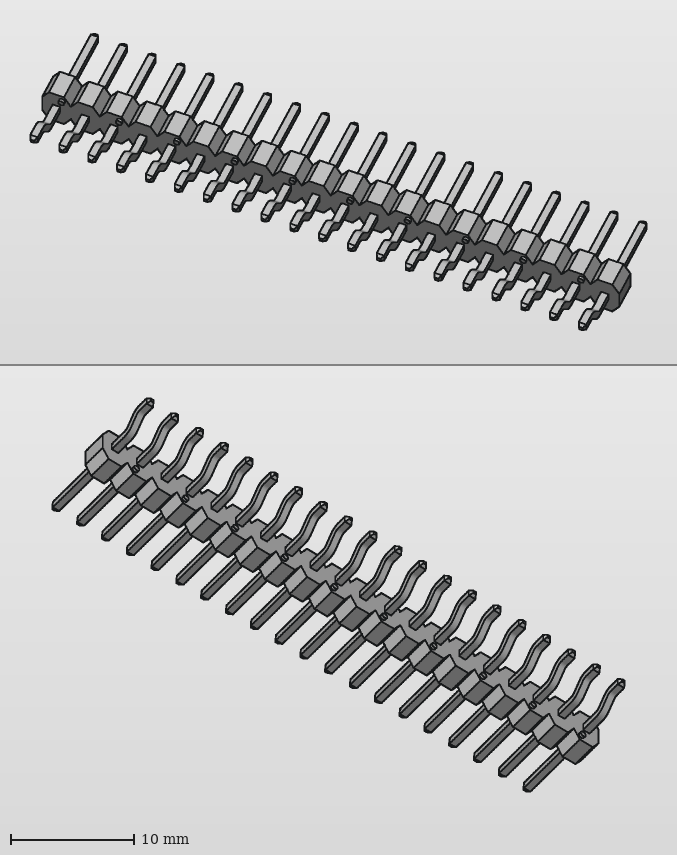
import cadquery as cq
import math


pin_count = 20
pitch = 2.55
body_depth = 2.3
body_height = 3.55
notch_half_width = 0.6
cell_side_height = 1.7

pin_size = 0.65
tip_size = 0.3
tip_length = 0.3
back_length = 5.8
front_length = 4.9
front_straight = 1.7
bend_radius = 0.8
bend_angle = 50

bump_diameter = 0.5
bump_length = 0.25
bump_offset_x = 0.5
bump_offset_z = 1.2

half_length = pin_count * pitch / 2
half_height = body_height / 2
half_side = cell_side_height / 2
flat_half_width = pitch / 2 - notch_half_width
half_pin = pin_size / 2
back_face_y = body_depth / 2
front_face_y = -body_depth / 2
back_shoulder_y = back_face_y + back_length - tip_length
front_shoulder_y = front_face_y - front_length + tip_length
foot_rise = half_height - half_pin
pin_positions = [(i + 0.5) * pitch - half_length for i in range(pin_count)]


def make_body():
    """Strip with V notches between neighbouring cells and chamfered ends."""
    top_edge = [(-half_length, half_side)]
    for x in pin_positions:
        top_edge.append((x - flat_half_width, half_height))
        top_edge.append((x + flat_half_width, half_height))
        top_edge.append((x + pitch / 2, half_side))
    bottom_edge = [(x, -z) for x, z in reversed(top_edge)]
    outline = cq.Workplane("XZ").polyline(top_edge + bottom_edge).close()
    return outline.extrude(body_depth / 2, both=True)


def make_tip(shoulder_y, z, direction):
    """Tapered square tip running from the shoulder along +Y or -Y."""
    plane = cq.Plane(origin=(0, shoulder_y, z), xDir=(1, 0, 0), normal=(0, direction, 0))
    return (
        cq.Workplane(plane)
        .rect(pin_size, pin_size)
        .workplane(offset=tip_length)
        .rect(tip_size, tip_size)
        .loft(ruled=True)
    )


def make_pin():
    """Square pin swept along its centre line, with a tapered tip at each end."""
    angle = math.radians(bend_angle)
    arc_run = bend_radius * math.sin(angle)
    arc_rise = bend_radius * (1 - math.cos(angle))
    slope_rise = foot_rise - 2 * arc_rise
    slope_run = slope_rise / math.tan(angle)

    bend_start = (front_face_y - front_straight, 0)
    slope_start = (bend_start[0] - arc_run, arc_rise)
    slope_end = (slope_start[0] - slope_run, arc_rise + slope_rise)
    foot_start = (slope_end[0] - arc_run, foot_rise)

    centre_line = (
        cq.Workplane("YZ")
        .moveTo(back_shoulder_y, 0)
        .lineTo(*bend_start)
        .tangentArcPoint(slope_start, relative=False)
        .lineTo(*slope_end)
        .tangentArcPoint(foot_start, relative=False)
        .lineTo(front_shoulder_y, foot_rise)
    )
    shank = (
        cq.Workplane("XZ", origin=(0, back_shoulder_y, 0))
        .rect(pin_size, pin_size)
        .sweep(centre_line)
    )
    back_tip = make_tip(back_shoulder_y, 0, 1)
    front_tip = make_tip(front_shoulder_y, foot_rise, -1)
    return shank.union(back_tip).union(front_tip)


def make_bumps():
    """Round bumps, alternating upper right and lower left from cell to cell."""
    centres = []
    for i, x in enumerate(pin_positions):
        side = 1 if i % 2 == 0 else -1
        centres.append((x + side * bump_offset_x, side * bump_offset_z))
    face = cq.Workplane("XZ", origin=(0, front_face_y, 0))
    return face.pushPoints(centres).circle(bump_diameter / 2).extrude(bump_length)


pins = cq.Workplane("XY").pushPoints([(x, 0) for x in pin_positions]).eachpoint(make_pin().val())
result = make_body().union(make_bumps()).union(pins)